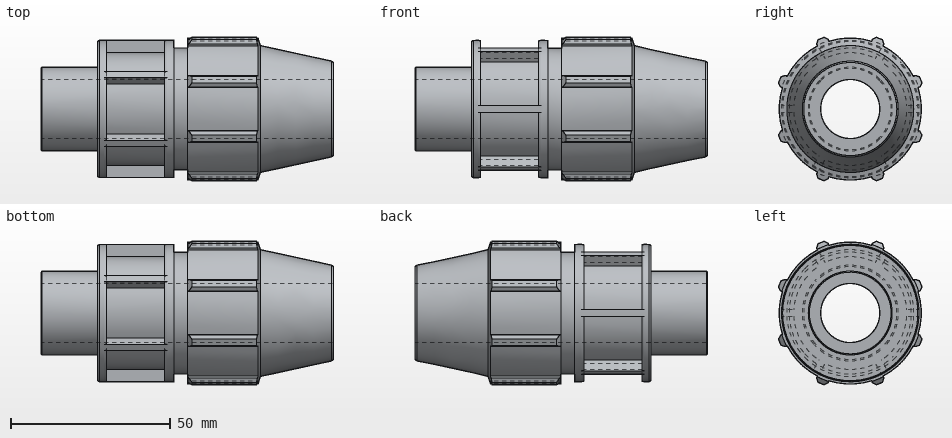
import cadquery as cq

length = 92.0
collar_start = 17.8
collar_end = 41.8
nut_start = 46.1
nut_shoulder = 68.3
cone_start = 69.0

bore_radius = 18.5 / 2
spigot_radius = 26.4 / 2
collar_radius = 43.2 / 2
neck_radius = 38.4 / 2
nut_radius = 22.4
cone_base_radius = 20.0
cone_tip_radius = 15.1

spigot_chamfer = 0.4
collar_chamfer_length = 0.6
collar_chamfer_depth = 0.4
tip_chamfer_length = 0.6
tip_chamfer_depth = 0.5

web_count = 6
web_width = 2.2
pocket_start = 20.7
pocket_end = 38.8
pocket_floor_radius = 17.8
mouth_flare_length = 0.7
mouth_flare_depth = 0.2

rib_count = 8
rib_top_radius = 24.0
rib_top_width = 2.1
rib_shoulder_radius = 22.9
rib_width = 4.0
rib_mouth_radius = 22.5
rib_ramp_length = 1.4

overlap = 0.9


def revolve_about_x(points):
    """Revolve a closed (x, radius) outline about the X axis."""
    return cq.Workplane("XY").polyline(points).close().revolve(360, (0, 0, 0), (1, 0, 0))


def make_body():
    """Spigot, collar, neck and tapered end as one solid of revolution."""
    return revolve_about_x([
        (0, 0),
        (0, spigot_radius - spigot_chamfer),
        (spigot_chamfer, spigot_radius),
        (collar_start, spigot_radius),
        (collar_start, collar_radius - collar_chamfer_depth),
        (collar_start + collar_chamfer_length, collar_radius),
        (collar_end, collar_radius),
        (collar_end, neck_radius),
        (cone_start, neck_radius),
        (cone_start, cone_base_radius),
        (length - tip_chamfer_length, cone_tip_radius),
        (length, cone_tip_radius - tip_chamfer_depth),
        (length, 0),
    ])


def make_pockets():
    """Ring-shaped cut with flared mouth edges, interrupted by the webs."""
    mouth_radius = collar_radius - mouth_flare_depth
    pockets = revolve_about_x([
        (pocket_start, pocket_floor_radius),
        (pocket_start, mouth_radius),
        (pocket_start - mouth_flare_length, collar_radius),
        (pocket_end + mouth_flare_length, collar_radius),
        (pocket_end, mouth_radius),
        (pocket_end, pocket_floor_radius),
    ])
    web = cq.Workplane("XY").box(
        length, collar_radius + overlap, web_width, centered=(False, False, True)
    )
    for index in range(web_count):
        pockets = pockets.cut(web.rotate((0, 0, 0), (1, 0, 0), index * 360 / web_count))
    return pockets


def make_nut():
    """Ribbed nut; the rib mouths are ramped and one shoulder bevel runs across nut and ribs."""
    nut_length = cone_start - nut_start
    rib = (
        cq.Workplane("YZ", origin=(nut_start, 0, 0))
        .polyline([
            (-rib_width / 2, neck_radius),
            (-rib_width / 2, rib_shoulder_radius),
            (-rib_top_width / 2, rib_top_radius),
            (rib_top_width / 2, rib_top_radius),
            (rib_width / 2, rib_shoulder_radius),
            (rib_width / 2, neck_radius),
        ])
        .close()
        .extrude(nut_length)
    )
    nut = cq.Workplane("YZ", origin=(nut_start, 0, 0)).circle(nut_radius).extrude(nut_length)
    pitch = 360 / rib_count
    for index in range(rib_count):
        nut = nut.union(rib.rotate((0, 0, 0), (1, 0, 0), (index + 0.5) * pitch))

    limit_radius = rib_top_radius + overlap
    ramp_slope = rib_ramp_length / (rib_top_radius - rib_mouth_radius)
    bevel_slope = (cone_start - nut_shoulder) / (nut_radius - cone_base_radius)
    envelope = revolve_about_x([
        (nut_start, 0),
        (nut_start, rib_mouth_radius),
        (nut_start + ramp_slope * (limit_radius - rib_mouth_radius), limit_radius),
        (nut_shoulder - bevel_slope * (limit_radius - nut_radius), limit_radius),
        (cone_start, cone_base_radius),
        (cone_start, 0),
    ])
    return nut.intersect(envelope)


bore = cq.Workplane("YZ").circle(bore_radius).extrude(length)

result = make_body().cut(make_pockets()).union(make_nut()).cut(bore)